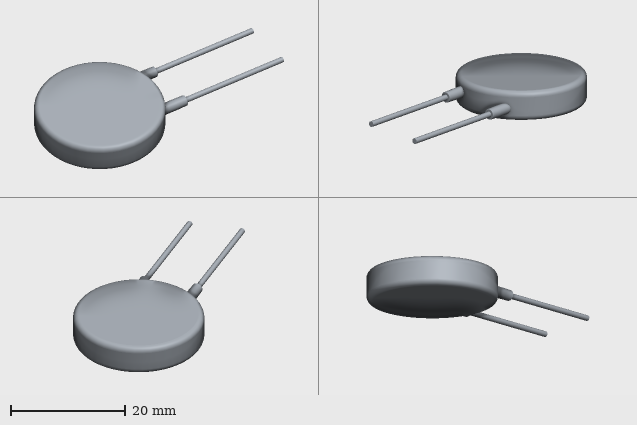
import cadquery as cq

disc_diameter = 23.0
disc_height = 5.4
disc_edge_radius = 1.0

overall_length = 46.0
lead_diameter = 1.0
lead_spacing = 10.0
lead_height_offset = 0.5
lead_end_y = overall_length - disc_diameter / 2

collar_root_diameter = 2.02
collar_tip_diameter = 1.95
collar_length = 3.0
collar_tip_length = 2.05
collar_edge_radius = 0.1
collar_end_y = disc_diameter / 2 + collar_length
collar_taper_y = collar_end_y - collar_tip_length

root_y = disc_diameter / 4


def disc():
    bottom = cq.Workplane("XY", origin=(0, 0, -disc_height / 2))
    body = bottom.circle(disc_diameter / 2).extrude(disc_height)
    return body.edges().fillet(disc_edge_radius)


def rod(x, z, diameter, end_y):
    """Round rod along +Y from inside the disc to end_y."""
    base = cq.Workplane("XZ", origin=(x, root_y, z))
    return base.circle(diameter / 2).extrude(root_y - end_y)


def collar_taper(x, z):
    """Slightly conical outer stretch of the collar, with a rounded tip."""
    base = cq.Workplane("XZ", origin=(x, collar_taper_y, z))
    cone = (
        base.circle(collar_root_diameter / 2)
        .workplane(offset=-collar_tip_length)
        .circle(collar_tip_diameter / 2)
        .loft()
    )
    return cone.faces(">Y").edges().fillet(collar_edge_radius)


def lead_with_collar(x, z):
    collar_root = rod(x, z, collar_root_diameter, collar_taper_y)
    lead = rod(x, z, lead_diameter, lead_end_y)
    return collar_root.union(collar_taper(x, z)).union(lead)


result = disc()
for side in (-1, 1):
    result = result.union(lead_with_collar(side * lead_spacing / 2, side * lead_height_offset))